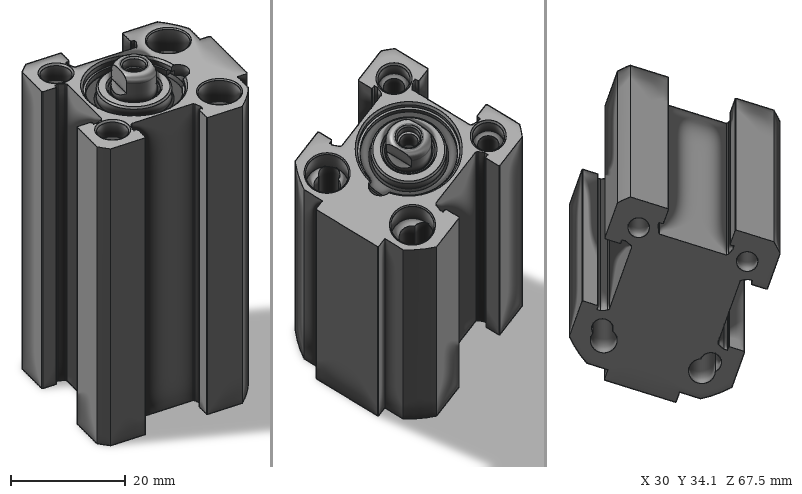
import cadquery as cq
import math

total_length = 67.5
housing_length = 63.0
housing_half_width = 15.0
crown_radius = 20.0
shoulder_y = 17.0
ridge_y = 19.05
ridge_half_width = 6.6
edge_chamfer = 0.15

slot_half_opening = 6.15
slot_lip_inner = 12.0
slot_floor = 10.0
slot_undercut_half = 6.9
slot_undercut_end = 11.35
slot_floor_half = 6.4
slot_floor_chamfer = 0.3

corner_hole_offset = 10.0
corner_hole_diameter = 3.7
corner_bore_diameter = 5.6
corner_bore_mouth = 6.3
corner_bore_depth = 3.45
flange_hole_x = 9.05
flange_hole_y = 12.0
flange_hole_diameter = 4.65
flange_bore_diameter = 7.55
flange_bore_mouth = 8.0
flange_bore_depth = 4.7

cover_diameter = 17.9
cover_length = 10.0
cover_recess = 2.85
cover_top = housing_length - cover_recess
bore_floor_z = cover_top - cover_length
bore_mouth = 18.7
groove_diameter = 19.0
groove_lower_chamfer = (groove_diameter - cover_diameter) / 2
ring_inner_diameter = 17.0
ring_thickness = 1.0
ring_bottom = cover_top + groove_lower_chamfer
ring_top = ring_bottom + ring_thickness
ring_gap_half_angle = 18.5
release_notch_diameter = 4.1
release_notch_y = 8.8

boss_diameter = 13.2
boss_foot_diameter = 14.0
boss_rim_diameter = 12.55
boss_recess = 0.2
boss_top = housing_length - boss_recess

seal_diameter = 9.2
seal_mouth_diameter = 9.85
seal_lip_diameter = 8.45
seal_length = 2.7
seal_recess = 0.6
seal_top = boss_top - seal_recess

rod_diameter = 8.0
rod_end_fillet = 1.4
rod_across_flats = 6.0
rod_flat_length = 3.65
socket_diameter = 3.25
socket_recess_diameter = 4.1
socket_recess_depth = 1.95
socket_mouth_diameter = 4.7
socket_depth = 6.1
drill_tip_angle = 118.0


def cylinder(diameter, bottom, top, x=0.0, y=0.0):
    return cq.Workplane("XY", origin=(x, y, bottom)).circle(diameter / 2).extrude(top - bottom)


def cone(bottom_diameter, top_diameter, bottom, top, x=0.0, y=0.0):
    base = cq.Vector(x, y, bottom)
    solid = cq.Solid.makeCone(bottom_diameter / 2, top_diameter / 2, top - bottom, pnt=base)
    return cq.Workplane(obj=solid)


def chamfered_mouth(inner_diameter, mouth_diameter, face_z, x=0.0, y=0.0):
    """45-degree countersink that widens a hole up to face_z."""
    depth = (mouth_diameter - inner_diameter) / 2
    return cone(inner_diameter, mouth_diameter, face_z - depth, face_z, x, y)


def sensor_slot(turn):
    """Slot in the -Y side with undercut lips, turned about the rod axis."""
    right_side = [
        (slot_half_opening + edge_chamfer, -housing_half_width),
        (slot_half_opening, -housing_half_width + edge_chamfer),
        (slot_half_opening, -slot_lip_inner - edge_chamfer),
        (slot_half_opening + edge_chamfer, -slot_lip_inner),
        (slot_undercut_half, -slot_lip_inner),
        (slot_undercut_half, -slot_undercut_end),
        (slot_floor_half, -slot_floor - slot_floor_chamfer),
        (slot_floor_half - slot_floor_chamfer, -slot_floor),
    ]
    left_side = [(-x, y) for x, y in reversed(right_side)]
    slot = cq.Workplane("XY").polyline(right_side + left_side).close().extrude(housing_length)
    return slot.rotate((0, 0, 0), (0, 0, 1), turn)


def housing_blank():
    width = 2 * housing_half_width
    depth = housing_half_width + shoulder_y
    block = (
        cq.Workplane("XY")
        .center(0, (shoulder_y - housing_half_width) / 2)
        .rect(width, depth)
        .extrude(housing_length)
    )
    profile = block.intersect(cylinder(2 * crown_radius, 0, housing_length))
    ridge = (
        cq.Workplane("XY")
        .center(0, ridge_y / 2)
        .rect(2 * ridge_half_width, ridge_y)
        .extrude(housing_length)
        .edges("|Z and >Y")
        .chamfer(edge_chamfer)
    )
    return profile.union(ridge)


def counterbore(x, y, diameter, mouth_diameter, depth):
    bore = cylinder(diameter, housing_length - depth, housing_length, x, y)
    return bore.union(chamfered_mouth(diameter, mouth_diameter, housing_length, x, y))


def lower_hole(x):
    hole = cylinder(corner_hole_diameter, 0, housing_length, x, -corner_hole_offset)
    return hole.union(
        counterbore(x, -corner_hole_offset, corner_bore_diameter, corner_bore_mouth, corner_bore_depth)
    )


def upper_hole(side):
    """Large counterbore whose floor opens into two overlapping through holes."""
    x = side * flange_hole_x
    counterbore_floor = housing_length - flange_bore_depth
    bolt_hole = cylinder(flange_hole_diameter, 0, counterbore_floor, x, flange_hole_y)
    corner_x = side * corner_hole_offset
    corner_hole = cylinder(corner_hole_diameter, 0, counterbore_floor, corner_x, corner_hole_offset)
    bore = counterbore(x, flange_hole_y, flange_bore_diameter, flange_bore_mouth, flange_bore_depth)
    return bore.union(bolt_hole).union(corner_hole)


def cover_bore():
    bore = cylinder(cover_diameter, bore_floor_z, housing_length)
    bore = bore.union(chamfered_mouth(cover_diameter, bore_mouth, housing_length))
    groove = cylinder(groove_diameter, ring_bottom, ring_top)
    groove = groove.union(chamfered_mouth(cover_diameter, groove_diameter, ring_bottom))
    notch = cylinder(release_notch_diameter, ring_bottom, housing_length, 0, release_notch_y)
    return bore.union(groove).union(notch)


def make_housing():
    body = housing_blank()
    for turn in (-90, 0, 90):
        body = body.cut(sensor_slot(turn))
    for side in (-1, 1):
        body = body.cut(lower_hole(side * corner_hole_offset)).cut(upper_hole(side))
    return body.cut(cover_bore())


def make_rod_cover():
    """Flanged bush with a raised boss, bored for the rod and for the wiper seal."""
    cover = cylinder(cover_diameter, bore_floor_z, cover_top)
    rim_chamfer = (boss_diameter - boss_rim_diameter) / 2
    foot_height = (boss_foot_diameter - boss_diameter) / 2
    boss = cylinder(boss_diameter, cover_top, boss_top).faces(">Z").chamfer(rim_chamfer)
    foot = cone(boss_foot_diameter, boss_diameter, cover_top, cover_top + foot_height)
    cover = cover.union(boss).union(foot)
    cover = cover.cut(cylinder(rod_diameter, bore_floor_z, boss_top))
    cover = cover.cut(cylinder(seal_diameter, seal_top - seal_length, boss_top))
    return cover.cut(chamfered_mouth(seal_diameter, seal_mouth_diameter, boss_top))


def make_wiper_seal():
    seal = cylinder(seal_diameter, seal_top - seal_length, seal_top)
    seal = seal.cut(cylinder(rod_diameter, seal_top - seal_length, seal_top))
    return seal.cut(chamfered_mouth(rod_diameter, seal_lip_diameter, seal_top))


def make_retaining_ring():
    """C-shaped ring, open toward the release notch."""
    ring = cylinder(groove_diameter, ring_bottom, ring_top)
    ring = ring.cut(cylinder(ring_inner_diameter, ring_bottom, ring_top))
    reach = groove_diameter
    half_width = reach * math.tan(math.radians(ring_gap_half_angle))
    gap = (
        cq.Workplane("XY", origin=(0, 0, ring_bottom))
        .polyline([(0, 0), (half_width, reach), (-half_width, reach)])
        .close()
        .extrude(ring_thickness)
    )
    return ring.cut(gap)


def wrench_flat(side):
    """Material removed beside one wrench flat, with a 45-degree run-out at its lower end."""
    flat_y = rod_across_flats / 2
    outer_y = rod_diameter
    flat_bottom = total_length - rod_flat_length
    run_out = outer_y - flat_y
    outline = [
        (side * flat_y, total_length),
        (side * flat_y, flat_bottom),
        (side * outer_y, flat_bottom - run_out),
        (side * outer_y, total_length),
    ]
    return cq.Workplane("YZ").polyline(outline).close().extrude(rod_diameter / 2, both=True)


def make_rod():
    rod = cylinder(rod_diameter, bore_floor_z, total_length).faces(">Z").edges().fillet(rod_end_fillet)
    for side in (-1, 1):
        rod = rod.cut(wrench_flat(side))
    socket_floor = total_length - socket_depth
    tip_depth = socket_diameter / 2 / math.tan(math.radians(drill_tip_angle / 2))
    rod = rod.cut(cylinder(socket_diameter, socket_floor, total_length))
    rod = rod.cut(cone(0, socket_diameter, socket_floor - tip_depth, socket_floor))
    rod = rod.cut(cylinder(socket_recess_diameter, total_length - socket_recess_depth, total_length))
    return rod.cut(chamfered_mouth(socket_recess_diameter, socket_mouth_diameter, total_length))


housing = make_housing()
rod_cover = make_rod_cover()
wiper_seal = make_wiper_seal()
retaining_ring = make_retaining_ring()
piston_rod = make_rod()

result = cq.Compound.makeCompound([
    housing.val(),
    rod_cover.val(),
    wiper_seal.val(),
    retaining_ring.val(),
    piston_rod.val(),
])